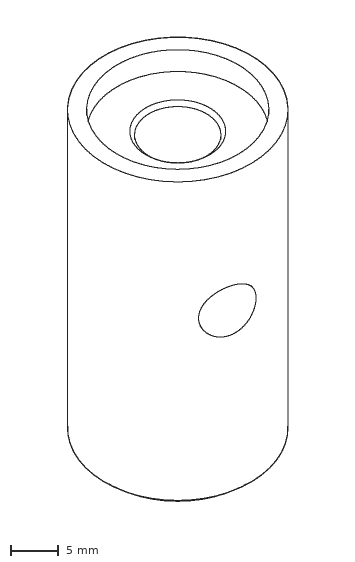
import cadquery as cq
import math

height = 45.0
body_diameter = 23.0
bottom_chamfer = 1.0

recess_diameter = 19.0
recess_depth = 3.0

bore_diameter = 9.0
bore_mouth_diameter = 10.0
bore_depth = 9.0
drill_point_angle = 118.0

cross_hole_diameter = 6.8
cross_hole_height = 26.0


def make_body():
    body = cq.Workplane("XY").circle(body_diameter / 2).extrude(height)
    return body.faces("<Z").chamfer(bottom_chamfer)


def make_recess():
    return (
        cq.Workplane("XY", origin=(0, 0, height - recess_depth))
        .circle(recess_diameter / 2)
        .extrude(recess_depth)
    )


def make_bore():
    """Blind hole with a 45 degree countersunk mouth and a conical drill point."""
    radius = bore_diameter / 2
    mouth_radius = bore_mouth_diameter / 2
    top = height - recess_depth
    mouth_bottom = top - (mouth_radius - radius)
    shoulder = top - bore_depth
    tip = shoulder - radius / math.tan(math.radians(drill_point_angle / 2))
    half_section = [
        (0, top),
        (mouth_radius, top),
        (radius, mouth_bottom),
        (radius, shoulder),
        (0, tip),
    ]
    return cq.Workplane("XZ").polyline(half_section).close().revolve(360, (0, 0), (0, 1))


def make_cross_hole():
    return (
        cq.Workplane("YZ", origin=(-body_diameter / 2, 0, 0))
        .center(0, cross_hole_height)
        .circle(cross_hole_diameter / 2)
        .extrude(body_diameter)
    )


result = make_body().cut(make_recess()).cut(make_bore()).cut(make_cross_hole())